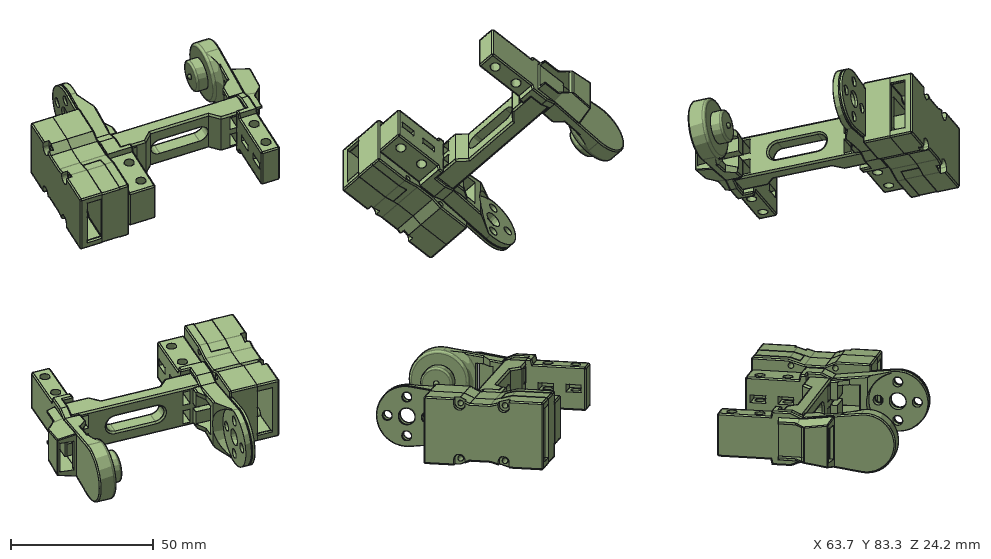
import cadquery as cq
import math


WIDTH = 83.3
END_X = 52.9
HINGE_R = 10.8
EDGE = 0.5

BOX_X = 10.0
BOX_HALF_Z = 24.2 / 2
WAIST_HALF_Z = 10.4
WAIST_X = (22.7, 26.5, 33.9, 39.8)
COVER_Y = 8.3
BASE_Y = 18.7
COVER_FLOOR = 2.7
WINDOW_HALF_Z = 9.6
CAVITY_STEP = 0.3
END_WALL = 1.25
PORT_X = (14.2, 26.65)
HINGE_PLATE = 0.9
SCREW_D = 2.0
SCREW_HEAD_D = 4.0
SCREW_HEAD_DEPTH = 2.2
SCREW_X = (22.8, 38.7)
SCREW_Z = 10.0
RELIEF_X = 36.1
RELIEF_Y = 15.2
RELIEF_DEPTH = 0.2

AXLE_D = 6.0
HORN_HOLE_D = 3.5
HORN_HOLE_R = 7.0

NECK_X = 22.5
NECK_HALF_Z = 8.0
SHOULDER_HALF_Z = 9.75
SHOULDER_X = (26.5, 33.3)
TAIL_HALF_Z = 7.8

PASSAGE_X = 12.5
PASSAGE_HALF_Z = 6.2
WALL_SLOT_HALF_Z = 1.0
BOLT_D = 3.5
BOLT_X = (38.4, 48.4)
BOLT_INSET = 3.7
NUT_LENGTH = 5.5
NUT_HEIGHT = 2.75
NUT_DEPTH = 6.3

HORN_DEPTH = 2.6
SERVO_PLATE = 6.5
SERVO_RAMP_X = (2.3, 9.9)
SERVO_BLOCK = 8.8
SERVO_BLOCK_X = 16.4
SERVO_BLOCK_HALF_Z = 7.8
SERVO_TAIL = 10.2
SERVO_WALL_X = 20.25
HORN_CLEARANCE_R = 10.3
IDLER_Y = 76.5
IDLER_PLATE = 3.3
IDLER_BLOCK = 6.5
IDLER_RAMP_X = (15.3, 18.3)
IDLER_TAIL = 7.1
IDLER_WALL_X = 19.5
IDLER_RIM = 1.0
IDLER_FILLET = IDLER_BLOCK - IDLER_RIM - IDLER_PLATE

BOSS_D = 11.5
BOSS_HEIGHT = 4.2
BOSS_FILLET = 0.75
TIP_D = 2.0
TIP_HEIGHT = 1.0
TIP_FILLET = 0.8

BAR_X = 22.7
BAR_HALF_Z = 8.2
BAR_Y = (BASE_Y + SERVO_PLATE, IDLER_Y - IDLER_PLATE)
BAR_FOOT = 8.5
BAR_WEB = 5.2
BAR_FOOT_LENGTH = 9.6
BAR_CHAMFER = 0.7
BAR_SLOT = (21.8, 6.7)
BAR_WINDOW = (2.7, 5.6)
BAR_WINDOW_INSET = 3.4
BAR_WINDOW_Z = 4.0

LOOP_X = (10.9, 23.3, 30.9)
LOOP_TOP_X = (11.9, 20.5)
LOOP_LIP_TOP_X = (24.15, 30.5)
LOOP_BASE_HALF_Z = (9.3, 7.6)
LOOP_TOP_HALF_Z = (7.9, 6.2)
LOOP_CHAMFER = 0.3
LOOP_WALL = 1.0
LOOP_FLOOR = 0.8
LOOP_LIP_Y = 79.55


def block(x, y, z):
    """Box between the given (low, high) pairs."""
    return (
        cq.Workplane("XY")
        .box(x[1] - x[0], y[1] - y[0], z[1] - z[0], centered=False)
        .translate((x[0], y[0], z[0]))
    )


def rod(diameter, y, x=0.0, z=0.0):
    """Cylinder along Y between y[0] and y[1]."""
    return cq.Workplane("XZ", origin=(x, y[1], z)).circle(diameter / 2).extrude(y[1] - y[0])


def along_y(y):
    """Plane whose sketches are X and Z and whose extrusion runs from y[1] down to y[0]."""
    return cq.Workplane("XZ", origin=(0, y[1], 0))


def plan_prism(points, half_z):
    """Prism with an X-Y outline, symmetric about Z = 0."""
    return cq.Workplane("XY").polyline(points).close().extrude(half_z, both=True)


def hinge_outline(plane, end_points):
    """Round hinge end with tangent flanks to the upper half-outline `end_points`."""
    first_x, first_z = end_points[0]
    reach = math.hypot(first_x, first_z)
    angle = math.atan2(first_z, first_x) + math.acos(HINGE_R / reach)
    tangent = (HINGE_R * math.cos(angle), HINGE_R * math.sin(angle))
    lower = [(x, -z) for x, z in reversed(end_points)]
    return (
        plane.moveTo(*tangent)
        .polyline([*end_points, *lower, (tangent[0], -tangent[1])], includeCurrent=True)
        .threePointArc((-HINGE_R, 0), tangent)
        .close()
    )


def arm_slab(depth):
    """Full arm outline from Y = 0 inward to the given depth, chamfered on both faces."""
    end_points = [
        (NECK_X, NECK_HALF_Z),
        (SHOULDER_X[0], SHOULDER_HALF_Z),
        (SHOULDER_X[1], SHOULDER_HALF_Z),
        (SHOULDER_X[1] + EDGE, TAIL_HALF_Z),
        (END_X, TAIL_HALF_Z),
    ]
    slab = hinge_outline(along_y((0, depth)), end_points).extrude(depth)
    slab = slab.edges("|Y and >X").chamfer(EDGE)
    return slab.faces("<Y or >Y").edges().chamfer(EDGE)


def arm_tail(depth):
    """Deeper far end of an arm, from the crossbar outward."""
    tail = arm_slab(depth).intersect(
        block((BAR_X + BAR_FOOT, END_X), (0, depth), (-BOX_HALF_Z, BOX_HALF_Z))
    )
    return tail.faces("<X").edges("|Y").chamfer(EDGE)


def arm_openings(depth, wall_x):
    """Cable passage up to the wall, wall slot, bolt holes and nut slots of an arm."""
    through = (0, depth)
    tool = block((PASSAGE_X, wall_x), through, (-PASSAGE_HALF_Z, PASSAGE_HALF_Z))
    tool = tool.union(
        block((wall_x, BAR_X), through, (-WALL_SLOT_HALF_Z, WALL_SLOT_HALF_Z))
    )
    for x in BOLT_X:
        bolt = cq.Workplane("XY").circle(BOLT_D / 2).extrude(BOX_HALF_Z, both=True)
        nut = block(
            (x - NUT_LENGTH / 2, x + NUT_LENGTH / 2),
            (depth - NUT_DEPTH, depth),
            (-NUT_HEIGHT / 2, NUT_HEIGHT / 2),
        )
        tool = tool.union(bolt.translate((x, depth - BOLT_INSET, 0))).union(nut)
    return tool


def horn_holes(y):
    """Axle hole and the four horn screw holes around it."""
    holes = rod(AXLE_D, y)
    for quarter in range(4):
        angle = math.radians(90 * quarter)
        holes = holes.union(
            rod(HORN_HOLE_D, y, HORN_HOLE_R * math.cos(angle), HORN_HOLE_R * math.sin(angle))
        )
    return holes


def make_servo_arm():
    """Arm on the servo box, stepped down around the horn at its hinge end."""
    plate_profile = [
        (-HINGE_R, 0),
        (-HINGE_R, HORN_DEPTH),
        (SERVO_RAMP_X[0], HORN_DEPTH),
        (SERVO_RAMP_X[1], SERVO_PLATE),
        (END_X, SERVO_PLATE),
        (END_X, 0),
    ]
    block_profile = [
        (SERVO_BLOCK_X, 0),
        (SERVO_BLOCK_X, SERVO_PLATE),
        (SERVO_WALL_X, SERVO_BLOCK),
        (BAR_X, SERVO_BLOCK),
        (BAR_X, 0),
    ]
    end_block = plan_prism(block_profile, SERVO_BLOCK_HALF_Z)
    end_block = end_block.intersect(arm_slab(SERVO_TAIL))
    end_block = end_block.faces(">Y").edges("|X").chamfer(EDGE)
    arm = arm_slab(SERVO_PLATE).intersect(plan_prism(plate_profile, BOX_HALF_Z))
    arm = arm.union(end_block).union(arm_tail(SERVO_TAIL))
    arm = arm.cut(arm_openings(SERVO_TAIL, SERVO_WALL_X))
    arm = arm.cut(rod(2 * HORN_CLEARANCE_R, (HORN_DEPTH, SERVO_TAIL)))
    arm = arm.cut(horn_holes((0, HORN_DEPTH)))
    return arm.translate((0, BASE_Y, 0))


def idler_disc():
    """Disc with a rounded rim and a concave fillet up to the arm plate."""
    fillet_mid = IDLER_FILLET * (1 - math.sqrt(0.5))
    half_section = (
        cq.Workplane("XY")
        .moveTo(0, EDGE)
        .lineTo(HINGE_R, EDGE)
        .lineTo(HINGE_R + IDLER_FILLET, IDLER_PLATE)
        .threePointArc(
            (HINGE_R + fillet_mid, IDLER_PLATE + fillet_mid),
            (HINGE_R, IDLER_PLATE + IDLER_FILLET),
        )
        .radiusArc((HINGE_R - IDLER_RIM, IDLER_BLOCK), -IDLER_RIM)
        .lineTo(0, IDLER_BLOCK)
        .close()
    )
    flared = half_section.revolve(360, (0, 0, 0), (0, 1, 0))
    round_part = rod(2 * HINGE_R, (EDGE, IDLER_BLOCK))
    flank_limit = hinge_outline(
        along_y((EDGE, IDLER_BLOCK)), [(NECK_X, NECK_HALF_Z)]
    ).extrude(IDLER_BLOCK - EDGE)
    return flared.intersect(round_part.union(flank_limit))


def make_idler_arm():
    """Arm on the far side, with the idler disc at its hinge end."""
    block_profile = [
        (IDLER_RAMP_X[0], 0),
        (IDLER_RAMP_X[0], IDLER_PLATE),
        (IDLER_RAMP_X[1], IDLER_BLOCK),
        (BAR_X, IDLER_BLOCK),
        (BAR_X, 0),
    ]
    end_block = arm_slab(IDLER_BLOCK).intersect(plan_prism(block_profile, BOX_HALF_Z))
    arm = arm_slab(IDLER_PLATE).union(end_block).union(arm_tail(IDLER_TAIL)).union(idler_disc())
    arm = arm.cut(arm_openings(IDLER_TAIL, IDLER_WALL_X))
    return arm.mirror("XZ").translate((0, IDLER_Y, 0))


def make_idler_boss():
    """Round boss with a domed tip on the face of the idler disc."""
    face_y = IDLER_Y - IDLER_BLOCK
    top_y = face_y - BOSS_HEIGHT
    boss = rod(BOSS_D, (top_y, face_y)).faces("<Y").edges().fillet(BOSS_FILLET)
    tip = rod(TIP_D, (top_y - TIP_HEIGHT, top_y)).faces("<Y").edges().fillet(TIP_FILLET)
    return boss.union(tip)


def make_crossbar():
    """Bar between the arms, with thick feet, a long slot and four windows."""
    low, high = BAR_Y
    foot_x = BAR_X + BAR_FOOT
    web_x = BAR_X + BAR_WEB
    ramp = BAR_FOOT - BAR_WEB
    outline = [
        (BAR_X, low),
        (foot_x, low),
        (foot_x, low + BAR_FOOT_LENGTH),
        (web_x, low + BAR_FOOT_LENGTH + ramp),
        (web_x, high - BAR_FOOT_LENGTH - ramp),
        (foot_x, high - BAR_FOOT_LENGTH),
        (foot_x, high),
        (BAR_X, high),
    ]
    bar = plan_prism(outline, BAR_HALF_Z)
    bar = bar.faces("<Z or >Z").edges("not(<Y or >Y)").chamfer(BAR_CHAMFER)

    mid_y = (low + high) / 2
    slot = (
        cq.Workplane("YZ", origin=(BAR_X, mid_y, 0))
        .slot2D(*BAR_SLOT)
        .extrude(BAR_WEB)
    )
    bar = bar.cut(slot)
    rim = cq.selectors.BoxSelector(
        (BAR_X - EDGE, low + BAR_FOOT_LENGTH, -BAR_SLOT[1]),
        (BAR_X + EDGE, high - BAR_FOOT_LENGTH, BAR_SLOT[1]),
    )
    bar = bar.edges(rim).chamfer(BAR_CHAMFER)

    for y in (low + BAR_WINDOW_INSET, high - BAR_WINDOW_INSET - BAR_WINDOW[0]):
        for z in (-BAR_WINDOW_Z, BAR_WINDOW_Z):
            bar = bar.cut(
                block(
                    (BAR_X, foot_x),
                    (y, y + BAR_WINDOW[0]),
                    (z - BAR_WINDOW[1] / 2, z + BAR_WINDOW[1] / 2),
                )
            )
    return bar


def box_shell(y):
    """Waisted solid block of the servo box between two Y planes."""
    upper = [
        (BOX_X, BOX_HALF_Z),
        (WAIST_X[0], BOX_HALF_Z),
        (WAIST_X[1], WAIST_HALF_Z),
        (WAIST_X[2], WAIST_HALF_Z),
        (WAIST_X[3], BOX_HALF_Z),
        (END_X, BOX_HALF_Z),
    ]
    lower = [(x, -z) for x, z in reversed(upper)]
    shell = along_y(y).polyline(upper + lower).close().extrude(y[1] - y[0])
    return shell.edges("|Y and (<X or >X)").chamfer(EDGE)


def screw_rods(diameter, y):
    """Cylinders along Y at the four screw places."""
    rods = cq.Workplane("XY")
    for x in SCREW_X:
        for z in (-SCREW_Z, SCREW_Z):
            rods = rods.add(rod(diameter, y, x, z))
    return rods.combine()


def cavity_block(y):
    """Inner space of the servo box between its end walls."""
    half_z = WINDOW_HALF_Z + CAVITY_STEP
    return block((BOX_X + END_WALL, END_X - END_WALL), y, (-half_z, half_z))


def make_cover():
    """Outer half of the servo box, hollow and open at both ends."""
    cover = box_shell((0, COVER_Y)).faces("<Y").edges().chamfer(EDGE)
    window = block(
        (BOX_X, END_X), (COVER_FLOOR, COVER_Y), (-WINDOW_HALF_Z, WINDOW_HALF_Z)
    )
    cavity = window.union(cavity_block((COVER_FLOOR, COVER_Y)))
    cavity = cavity.cut(screw_rods(SCREW_HEAD_D, (COVER_FLOOR, COVER_Y)))
    cover = cover.cut(cavity)
    for x in SCREW_X:
        for side in (-1, 1):
            notch = block(
                (x - SCREW_HEAD_D / 2, x + SCREW_HEAD_D / 2),
                (0, SCREW_HEAD_DEPTH),
                sorted((side * SCREW_Z, side * BOX_HALF_Z)),
            )
            cover = cover.cut(notch)
    cover = cover.cut(screw_rods(SCREW_HEAD_D, (0, SCREW_HEAD_DEPTH)))
    return cover.cut(screw_rods(SCREW_D, (0, COVER_Y)))


def make_base():
    """Inner half of the servo box with its round hinge plate."""
    base = box_shell((COVER_Y, BASE_Y)).faces(">Y").edges().chamfer(EDGE)
    relief_x = (RELIEF_X, END_X)
    relief_y = (COVER_Y, RELIEF_Y)
    tall = block(relief_x, relief_y, (-BOX_HALF_Z, BOX_HALF_Z))
    core = box_shell(relief_y)
    lowered = core.translate((0, 0, -RELIEF_DEPTH)).intersect(core.translate((0, 0, RELIEF_DEPTH)))
    base = base.cut(tall.cut(lowered))
    plate_y = (BASE_Y - HINGE_PLATE, BASE_Y)
    plate = hinge_outline(along_y(plate_y), [(NECK_X, NECK_HALF_Z)]).extrude(HINGE_PLATE)
    base = base.union(plate.cut(horn_holes(plate_y)))
    base = base.cut(
        cavity_block((COVER_Y, COVER_Y + CAVITY_STEP))
        .cut(screw_rods(SCREW_HEAD_D, (COVER_Y, COVER_Y + CAVITY_STEP)))
    )
    base = base.cut(block(PORT_X, (COVER_Y, BASE_Y), (-PASSAGE_HALF_Z, PASSAGE_HALF_Z)))
    return base.cut(screw_rods(SCREW_D, (COVER_Y, BASE_Y)))


def make_cable_loop():
    """Tapered cable tunnel with a low lip on the outer face of the idler arm."""
    near_x, lip_x, far_x = LOOP_X
    outline = [
        (near_x, IDLER_Y),
        (LOOP_TOP_X[0], WIDTH),
        (LOOP_TOP_X[1], WIDTH),
        (LOOP_LIP_TOP_X[0], LOOP_LIP_Y),
        (LOOP_LIP_TOP_X[1], LOOP_LIP_Y),
        (far_x, IDLER_Y),
    ]

    def section(plane, end):
        base_z = LOOP_BASE_HALF_Z[end]
        top_z = LOOP_TOP_HALF_Z[end]
        return plane.polyline(
            [(IDLER_Y, -base_z), (WIDTH, -top_z), (WIDTH, top_z), (IDLER_Y, base_z)]
        ).close()

    tapered = section(cq.Workplane("YZ", origin=(near_x, 0, 0)), 0)
    tapered = section(tapered.workplane(offset=lip_x - near_x), 1).loft(ruled=True)
    lip = section(cq.Workplane("YZ", origin=(lip_x, 0, 0)), 1).extrude(far_x - lip_x)
    loop = plan_prism(outline, BOX_HALF_Z).intersect(tapered.union(lip))
    loop = loop.faces(">Y or <X").edges("not <Y").chamfer(LOOP_CHAMFER)
    tunnel = block(
        (0, END_X), (IDLER_Y + LOOP_FLOOR, WIDTH - LOOP_WALL), (-PASSAGE_HALF_Z, PASSAGE_HALF_Z)
    )
    mouth = block(
        (PASSAGE_X, IDLER_WALL_X),
        (IDLER_Y, IDLER_Y + LOOP_FLOOR),
        (-PASSAGE_HALF_Z, PASSAGE_HALF_Z),
    )
    return loop.cut(tunnel).cut(mouth)


cover = make_cover()
base = make_base()
servo_arm = make_servo_arm()
crossbar = make_crossbar()
idler_arm = make_idler_arm()
idler_boss = make_idler_boss()
cable_loop = make_cable_loop()

bodies = [cover, base, servo_arm, crossbar, idler_arm, idler_boss, cable_loop]
result = cq.Compound.makeCompound([body.solids().val() for body in bodies])